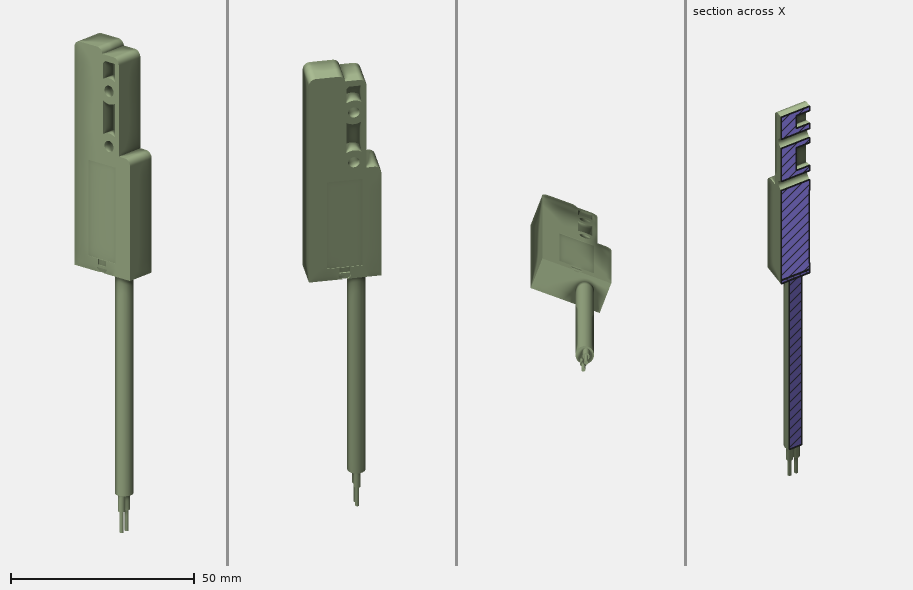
import cadquery as cq
import math


width = 20.0
thickness = 9.0
sensor_height = 65.0
cap_height = 1.3
corner_radius = 2.0
tall_width = 10.1
head_width = 16.0
head_drop = 1.7
shoulder_drop = 30.0
front_y = -thickness / 2

hole_diameter = 3.2
hole_x = 12.5
hole_pitch = 16.0
upper_hole_drop = 11.9
pocket_width = 4.2
pocket_depth = 4.2
pocket_boss_radius = 3.8
top_pocket_drop = 3.5
pocket_chamfer = 0.7

label_left = 5.0
label_width = 9.8
label_bottom = 3.8
label_height = 27.7
label_depth = 0.1
label_x = label_left + label_width / 2
window_width = 3.0
window_height = 1.7
window_bottom = 2.0
window_depth = 0.4
mark_radius = 1.8
mark_center_z = 1.7
mark_depth = 0.3

cable_x = 14.0
cable_diameter = 5.0
cable_length = 64.0
insulation_diameter = 2.0
insulation_length = 4.9
conductor_diameter = 1.1
wire_pitch = 2.1
total_length = 140.0
conductor_length = total_length - sensor_height - cable_length - insulation_length


def front_plane():
    """Workplane on the front face: local x is X, local y is Z, the normal points to -Y."""
    return cq.Workplane("XZ", origin=(0, front_y, 0))


def housing_blank():
    top = sensor_height
    r = corner_radius
    diagonal = r * math.sqrt(0.5)
    step_center_x = tall_width - math.sqrt(r**2 - (r - head_drop) ** 2)
    outline = (
        front_plane()
        .moveTo(0, cap_height)
        .lineTo(0, top - r)
        .threePointArc((r - diagonal, top - r + diagonal), (r, top))
        .lineTo(step_center_x, top)
        .threePointArc(
            (step_center_x + diagonal, top - r + diagonal),
            (tall_width, top - head_drop),
        )
        .lineTo(head_width - r, top - head_drop)
        .threePointArc(
            (head_width - r + diagonal, top - head_drop - r + diagonal),
            (head_width, top - head_drop - r),
        )
        .lineTo(head_width, top - shoulder_drop)
        .lineTo(width - r, top - shoulder_drop)
        .threePointArc(
            (width - r + diagonal, top - shoulder_drop - r + diagonal),
            (width, top - shoulder_drop - r),
        )
        .lineTo(width, cap_height)
        .close()
    )
    return outline.extrude(-thickness)


def pocket_cutter(bottom, top):
    return (
        front_plane()
        .center(hole_x, (bottom + top) / 2)
        .rect(pocket_width, top - bottom)
        .extrude(-pocket_depth)
    )


def build_housing():
    housing = housing_blank()
    upper_hole_z = sensor_height - upper_hole_drop
    lower_hole_z = upper_hole_z - hole_pitch
    holes = front_plane().pushPoints([(hole_x, upper_hole_z), (hole_x, lower_hole_z)])
    bosses = holes.circle(pocket_boss_radius).extrude(-pocket_depth)

    top_pocket = (
        pocket_cutter(upper_hole_z, sensor_height - top_pocket_drop)
        .edges("|Y and >Z and <X")
        .chamfer(pocket_chamfer)
    )
    middle_pocket = pocket_cutter(lower_hole_z, upper_hole_z)
    housing = housing.cut(top_pocket.cut(bosses)).cut(middle_pocket.cut(bosses))
    housing = housing.cut(holes.circle(hole_diameter / 2).extrude(-thickness))

    label = (
        front_plane()
        .center(label_x, label_bottom + label_height / 2)
        .rect(label_width, label_height)
        .extrude(-label_depth)
    )
    window = (
        front_plane()
        .center(label_x, window_bottom + window_height / 2)
        .rect(window_width, window_height)
        .extrude(-window_depth)
    )
    return housing.cut(label).cut(window)


def build_cap():
    cap = cq.Workplane("XY").box(width, thickness, cap_height, centered=(False, True, False))
    mark = front_plane().center(label_x, mark_center_z).circle(mark_radius).extrude(-mark_depth)
    return cap.cut(mark)


def hanging_rod(y, top_z, diameter, length):
    return cq.Workplane("XY", origin=(cable_x, y, top_z)).circle(diameter / 2).extrude(-length)


housing = build_housing()
cap = build_cap()
cable = hanging_rod(0, 0, cable_diameter, cable_length)

insulation_top = -cable_length
conductor_top = insulation_top - insulation_length
insulations = []
conductors = []
for wire_y in (-wire_pitch / 2, wire_pitch / 2):
    insulations.append(hanging_rod(wire_y, insulation_top, insulation_diameter, insulation_length).val())
    conductors.append(hanging_rod(wire_y, conductor_top, conductor_diameter, conductor_length).val())

result = cq.Compound.makeCompound([housing.val(), cap.val(), cable.val(), *insulations, *conductors])